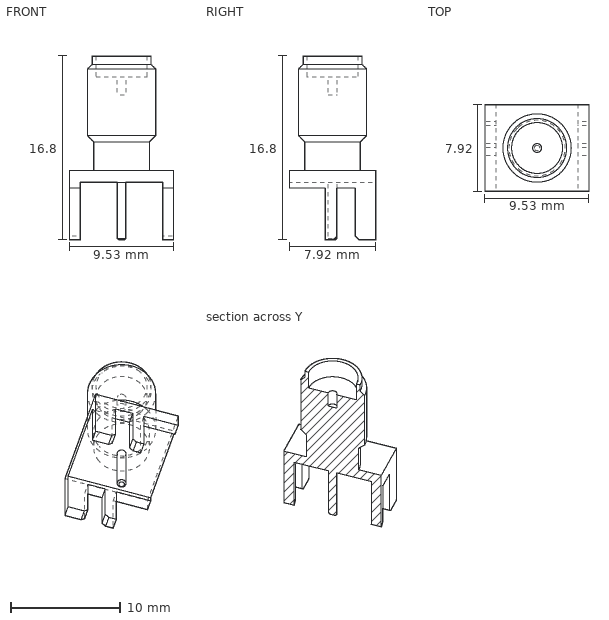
import cadquery as cq

total_height = 16.81
rail_bottom = 4.74
plate_bottom = 5.26
plate_top = 6.37
neck_top = 8.96
barrel_bottom = 9.53
barrel_top = 15.63
collar_bottom = 16.05

base_length = 9.53
base_width = 7.92
rail_width = 1.01

wide_leg_width = 1.9
narrow_leg_width = 1.08
narrow_leg_front = -0.67
leg_chamfer = 0.35

neck_diameter = 5.11
barrel_diameter = 6.25
collar_diameter = 5.4
bore_diameter = 4.65
bore_depth = 1.93

contact_diameter = 0.8
pin_chamfer = 0.15
socket_depth = 2 * contact_diameter


def make_base():
    """Plate whose underside is relieved between the two side rails."""
    base = cq.Workplane("XY").box(
        base_length, base_width, plate_top - rail_bottom, centered=(True, True, False)
    ).translate((0, 0, rail_bottom))
    relief = cq.Workplane("XY").box(
        base_length - 2 * rail_width, base_width, plate_bottom - rail_bottom,
        centered=(True, True, False),
    ).translate((0, 0, rail_bottom))
    return base.cut(relief)


def make_leg(x_center, y_front, width, chamfered_side):
    """Square leg with a chamfer on one Y side of its tip."""
    leg = cq.Workplane("XY").box(
        rail_width, width, plate_bottom, centered=(True, False, False)
    )
    leg = leg.faces(chamfered_side).edges("<Z").chamfer(leg_chamfer)
    return leg.translate((x_center, y_front, 0))


def make_body():
    """Turned neck, barrel and collar."""
    neck_radius = neck_diameter / 2
    barrel_radius = barrel_diameter / 2
    collar_radius = collar_diameter / 2
    profile = [
        (0, plate_bottom),
        (neck_radius, plate_bottom),
        (neck_radius, neck_top),
        (barrel_radius, barrel_bottom),
        (barrel_radius, barrel_top),
        (collar_radius, collar_bottom),
        (collar_radius, total_height),
        (0, total_height),
    ]
    return cq.Workplane("XZ").polyline(profile).close().revolve(360, (0, 0), (0, 1))


def make_pin():
    """Contact pin reaching from the plate down to the leg tips."""
    pin = cq.Workplane("XY").circle(contact_diameter / 2).extrude(plate_top)
    return pin.faces("<Z").chamfer(pin_chamfer)


def make_bore(diameter, top, depth):
    """Vertical cylinder, used as a cutter."""
    return cq.Workplane("XY").workplane(offset=top).circle(diameter / 2).extrude(-depth)


result = make_base().union(make_body()).union(make_pin())

wide_leg_front = base_width / 2 - wide_leg_width
leg_offset = (base_length - rail_width) / 2
for x_center in (-leg_offset, leg_offset):
    result = result.union(make_leg(x_center, wide_leg_front, wide_leg_width, "<Y"))
    result = result.union(make_leg(x_center, narrow_leg_front, narrow_leg_width, ">Y"))

bore_floor = total_height - bore_depth
result = result.cut(make_bore(bore_diameter, total_height, bore_depth))
result = result.cut(make_bore(contact_diameter, bore_floor, socket_depth))